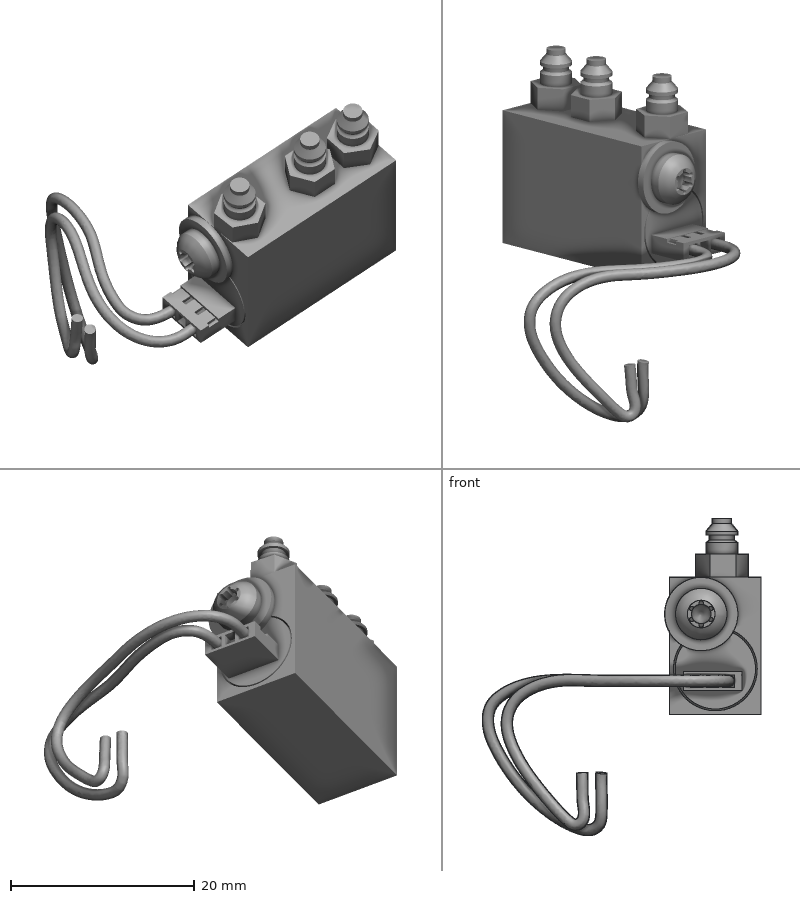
import cadquery as cq
import math


BLOCK_X = 10.0
BLOCK_Y = 21.38
BLOCK_Z = 15.0

BORE_D = 9.15
BORE_X = BLOCK_X / 2
BORE_Z = 5.0
BORE_DEPTH = 18.85

PORT_X = 5.7
PORTS = [(2.53, 3), (12.65, 30), (18.85, 0)]
HEX_FLATS = 5.0
HEX_H = 2.5
BARB_D = 3.5
BARB_NECK_D = 2.8
BARB_TIP_D = 2.1
BARB_STEM_H = 1.25
BARB_SHOULDER_H = 0.28
BARB_NECK_H = 0.55
BARB_RIM_H = 0.4
BARB_CONE_H = 0.83
BARB_TIP_H = 0.6

WASHER_D = 8.0
WASHER_HOLE_D = 3.2
WASHER_T = 0.83
WASHER_TOP_GAP = 0.05
SCREW_X = 3.45
SCREW_Z = BLOCK_Z - WASHER_D / 2 - WASHER_TOP_GAP
SHANK_D = 3.0
SHANK_L = 8.0
HEAD_D = 5.6
HEAD_FLAT_D = 3.0
HEAD_RIM_H = 1.1
HEAD_H = 2.35
DOME_MID_D = 4.57
DOME_MID_H = 1.85

LOBE_COUNT = 6
LOBE_D = 0.5
LOBE_TIP_D = 2.88
DRIVE_CORE_D = 2.1
DRIVE_DEPTH = 1.2
DRIVE_CONE_H = 0.62

CARTRIDGE_D = 8.75

PLUG_X = 4.7
PLUG_W = 6.38
PLUG_L = 5.0
PLUG_BOTTOM = 2.65
PLUG_H = 2.08
GROOVE_Y = 2.4
GROOVE_W = 0.17
LATCH_DEPTH = 0.4
SLOT_L = 1.4
SLOT_W = 0.62
SLOT_OFFSET = 1.022
END_NOTCH_W = 0.38
CELL_PITCH = 1.73
CELL_W = 1.3
CELL_H = 1.4
CELL_BOTTOM = 2.95
CELL_DEPTH = 1.18

WIRE_D = 1.25
WIRE_Z = 3.67
WIRE_ROOT = 0.17
WIRE_SEGMENTS = 8
OUTER_LOOP = [
    (2.8, -6.38, 3.67),
    (2.15, -7.9, 3.67),
    (0.85, -8.75, 3.67),
    (-0.52, -8.97, 3.67),
    (-1.87, -8.75, 3.67),
    (-4.0, -8.1, 3.67),
    (-6.03, -7.2, 3.67),
    (-8.25, -5.95, 3.7),
    (-11.05, -4.47, 3.78),
    (-14.38, -3.45, 3.57),
    (-17.5, -2.88, 2.6),
    (-19.55, -2.55, 0.75),
    (-19.75, -2.53, -1.3),
    (-18.78, -2.8, -3.95),
    (-16.25, -3.67, -7.7),
    (-12.7, -4.92, -10.9),
    (-10.1, -5.82, -12.35),
    (-8.6, -6.45, -12.58),
    (-7.65, -7.15, -11.95),
    (-7.4, -7.62, -10.65),
    (-7.4, -7.65, -8.5),
    (-7.4, -7.7, -6.38),
]
INNER_LOOP = [
    (6.27, -7.4, 3.67),
    (5.35, -9.05, 3.67),
    (3.4, -10.3, 3.67),
    (0.9, -10.75, 3.67),
    (-2.43, -10.35, 3.67),
    (-5.47, -9.32, 3.67),
    (-8.25, -7.97, 3.67),
    (-11.75, -6.25, 3.7),
    (-14.95, -5.05, 2.9),
    (-17.15, -4.5, 1.1),
    (-17.75, -4.45, -0.9),
    (-17.1, -4.78, -3.55),
    (-15.07, -5.95, -7.0),
    (-12.9, -7.1, -9.7),
    (-11.05, -7.8, -11.6),
    (-10.3, -8.1, -12.02),
    (-9.67, -8.3, -11.78),
    (-9.32, -8.35, -10.9),
    (-9.42, -8.07, -9.7),
    (-9.5, -7.85, -7.97),
    (-9.53, -7.7, -6.38),
]


def box_between(x_range, y_range, z_range):
    """Box given by its lower and upper limit along each axis."""
    sizes = [high - low for low, high in (x_range, y_range, z_range)]
    corner = (x_range[0], y_range[0], z_range[0])
    return cq.Workplane("XY").box(*sizes, centered=False).translate(corner)


def front_cylinder(diameter, x, z, y_from, y_to):
    """Cylinder along Y between two depths."""
    plane = cq.Workplane("XZ", origin=(x, y_to, z))
    return plane.circle(diameter / 2).extrude(y_to - y_from)


def make_port(y, turn):
    """Hexagon base with a barbed stem, standing on the top face."""
    hexagon = (
        cq.Workplane("XY")
        .polygon(6, HEX_FLATS / math.cos(math.pi / 6))
        .extrude(HEX_H)
        .rotate((0, 0, 0), (0, 0, 1), turn)
    )
    barb = (
        cq.Workplane("XZ")
        .lineTo(BARB_D / 2, 0)
        .line(0, HEX_H + BARB_STEM_H)
        .line((BARB_NECK_D - BARB_D) / 2, BARB_SHOULDER_H)
        .line(0, BARB_NECK_H)
        .line((BARB_D - BARB_NECK_D) / 2, 0)
        .line(0, BARB_RIM_H)
        .line((BARB_TIP_D - BARB_D) / 2, BARB_CONE_H)
        .line(0, BARB_TIP_H)
        .line(-BARB_TIP_D / 2, 0)
        .close()
        .revolve(360, (0, 0, 0), (0, 1, 0))
    )
    return hexagon.union(barb).translate((PORT_X, y, BLOCK_Z))


def make_manifold():
    """Block with its ports, the cartridge bore and the screw hole."""
    manifold = cq.Workplane("XY").box(BLOCK_X, BLOCK_Y, BLOCK_Z, centered=False)
    for y, turn in PORTS:
        manifold = manifold.union(make_port(y, turn))
    manifold = manifold.cut(front_cylinder(BORE_D, BORE_X, BORE_Z, 0, BORE_DEPTH))
    return manifold.cut(front_cylinder(SHANK_D, SCREW_X, SCREW_Z, 0, SHANK_L - WASHER_T))


def make_washer():
    """Large flat washer on the front face."""
    disc = front_cylinder(WASHER_D, SCREW_X, SCREW_Z, -WASHER_T, 0)
    return disc.cut(front_cylinder(WASHER_HOLE_D, SCREW_X, SCREW_Z, -WASHER_T, 0))


def make_drive_recess():
    """Six-lobe recess sunk from Z = HEAD_H, with a conical bottom."""
    floor = HEAD_H - DRIVE_DEPTH
    recess = cq.Workplane("XY", origin=(0, 0, floor)).circle(DRIVE_CORE_D / 2).extrude(DRIVE_DEPTH)
    for i in range(LOBE_COUNT // 2):
        lobe_pair = (
            cq.Workplane("XY", origin=(0, 0, floor))
            .slot2D(LOBE_TIP_D, LOBE_D, 90 + i * 360 / LOBE_COUNT)
            .extrude(DRIVE_DEPTH)
        )
        recess = recess.union(lobe_pair)
    cone = cq.Solid.makeCone(0, DRIVE_CORE_D / 2, DRIVE_CONE_H, pnt=cq.Vector(0, 0, floor - DRIVE_CONE_H))
    return recess.union(cq.Workplane(cone))


def make_screw():
    """Pan-head screw, modelled upright with Z = 0 under the head and then laid along -Y."""
    screw = (
        cq.Workplane("XZ")
        .moveTo(0, -SHANK_L)
        .lineTo(SHANK_D / 2, -SHANK_L)
        .lineTo(SHANK_D / 2, 0)
        .lineTo(HEAD_D / 2, 0)
        .lineTo(HEAD_D / 2, HEAD_RIM_H)
        .threePointArc((DOME_MID_D / 2, DOME_MID_H), (HEAD_FLAT_D / 2, HEAD_H))
        .lineTo(0, HEAD_H)
        .close()
        .revolve(360, (0, 0, 0), (0, 1, 0))
        .cut(make_drive_recess())
    )
    return screw.rotate((0, 0, 0), (1, 0, 0), 90).translate((SCREW_X, -WASHER_T, SCREW_Z))


def make_plug():
    """Connector block with latch slots on top and three wire cells in its front end."""
    left = PLUG_X - PLUG_W / 2
    right = PLUG_X + PLUG_W / 2
    top = PLUG_BOTTOM + PLUG_H
    latch_z = (top - LATCH_DEPTH, top)
    slot_y = (-GROOVE_Y - SLOT_L, -GROOVE_Y)

    plug = box_between((left, right), (-PLUG_L, 0), (PLUG_BOTTOM, top))
    plug = plug.cut(box_between((left, right), (-GROOVE_Y - GROOVE_W, -GROOVE_Y), latch_z))
    for side in (-1, 1):
        slot_x = PLUG_X + side * SLOT_OFFSET
        plug = plug.cut(box_between((slot_x - SLOT_W / 2, slot_x + SLOT_W / 2), slot_y, latch_z))
    plug = plug.cut(box_between((left, left + END_NOTCH_W), slot_y, latch_z))
    plug = plug.cut(box_between((right - END_NOTCH_W, right), slot_y, latch_z))
    for i in (-1, 0, 1):
        cell_x = PLUG_X + i * CELL_PITCH
        cell = box_between(
            (cell_x - CELL_W / 2, cell_x + CELL_W / 2),
            (-PLUG_L, CELL_DEPTH - PLUG_L),
            (CELL_BOTTOM, CELL_BOTTOM + CELL_H),
        )
        plug = plug.cut(cell)
    return plug


def make_wire(cell_x, loop):
    """Round wire that leaves its cell along -Y and follows the loop to its upright end."""
    root = (cell_x, CELL_DEPTH - PLUG_L + WIRE_ROOT, WIRE_Z)
    mouth = (cell_x, -PLUG_L, WIRE_Z)
    curve = cq.Workplane("XY").spline([root, mouth, *loop]).val()
    start, end = curve._bounds()
    step = (end - start) / WIRE_SEGMENTS
    segments = [curve.trim(start + i * step, start + (i + 1) * step) for i in range(WIRE_SEGMENTS)]
    path = cq.Workplane(cq.Wire.assembleEdges(segments))
    return cq.Workplane("XZ", origin=root).circle(WIRE_D / 2).sweep(path)


def make_valve():
    """Cartridge filling the bore, with its connector and both wires."""
    cartridge = front_cylinder(CARTRIDGE_D, BORE_X, BORE_Z, 0, BORE_DEPTH)
    outer_wire = make_wire(PLUG_X - CELL_PITCH, OUTER_LOOP)
    inner_wire = make_wire(PLUG_X + CELL_PITCH, INNER_LOOP)
    connector = make_plug().val().fuse(outer_wire.val(), inner_wire.val())
    return cartridge.union(cq.Workplane(connector))


manifold = make_manifold()
washer = make_washer()
screw = make_screw()
valve = make_valve()

result = cq.Compound.makeCompound([manifold.val(), washer.val(), screw.val(), valve.val()])